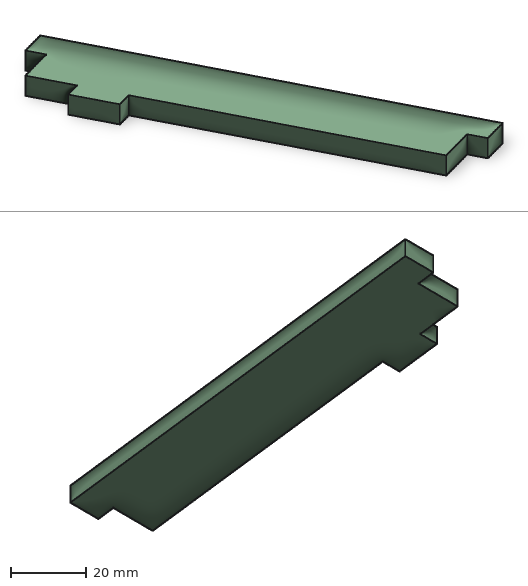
import cadquery as cq

thickness = 6.0
overall_length = 134.0
ear_length = 6.0
ear_width = 10.0
body_width = 24.0
tab_length = 15.0
tab_depth = 6.0
tab_offset = 15.0

body_length = overall_length - 2 * ear_length
overall_width = body_width + tab_depth


def block(left, front, length, width):
    """Full-thickness block with its front left bottom corner at (left, front, 0)."""
    return cq.Workplane("XY").box(length, width, thickness, centered=False).translate((left, front, 0))


ears = block(0, overall_width - ear_width, overall_length, ear_width)
body = block(ear_length, tab_depth, body_length, body_width)
tab = block(ear_length + tab_offset, 0, tab_length, tab_depth)

result = ears.union(body).union(tab).clean()